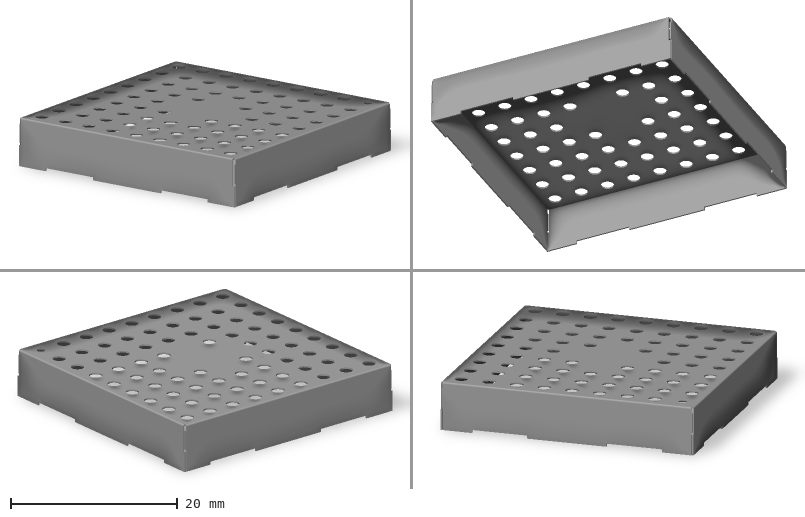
import cadquery as cq

SIDE = 32.0
HEIGHT = 6.0
SHEET = 0.2
BEND_RADIUS = SHEET

CORNER_GAP = 0.298
EAR_TOP = 2.6
TAB_BOTTOM = 2.85
TAB_TOP = 5.28
TAB_REACH = 0.15

NOTCH_WIDTH = 7.0
NOTCH_HEIGHT = 0.4
NOTCH_OFFSET = 8.5

HOLES_FROM_CENTER = 4
GRID_SPAN = 28.0
PITCH = GRID_SPAN / (2 * HOLES_FROM_CENTER)
PLAIN_STEPS = 1
VENT_DIAMETER = 1.6
MARKER_DIAMETER = 1.0


def folded_shell():
    """Box with rounded top edges, hollowed from below to the sheet thickness."""
    inner_side = SIDE - 2 * SHEET
    outer = cq.Workplane("XY").box(SIDE, SIDE, HEIGHT, centered=(True, True, False))
    outer = outer.faces(">Z").edges().fillet(BEND_RADIUS)
    cavity = cq.Workplane("XY").box(inner_side, inner_side, HEIGHT - SHEET, centered=(True, True, False))
    return outer.cut(cavity)


def corner_columns():
    """Square columns that open the four vertical corners over the full height."""
    spacing = SIDE - CORNER_GAP
    return (
        cq.Workplane("XY")
        .rarray(spacing, spacing, 2, 2)
        .rect(CORNER_GAP, CORNER_GAP)
        .extrude(HEIGHT)
    )


def corner_ears():
    """Low ears that lengthen the front and back walls to the full width at all four corners."""
    return (
        cq.Workplane("XY")
        .rarray(SIDE - CORNER_GAP, SIDE - SHEET, 2, 2)
        .rect(CORNER_GAP, SHEET)
        .extrude(EAR_TOP)
    )


def corner_tabs():
    """Tabs on both ends of the side walls, floating above the ears."""
    wall_length = SIDE - 2 * CORNER_GAP
    return (
        cq.Workplane("XY", origin=(0, 0, TAB_BOTTOM))
        .rarray(SIDE - SHEET, wall_length + TAB_REACH, 2, 2)
        .rect(SHEET, TAB_REACH)
        .extrude(TAB_TOP - TAB_BOTTOM)
    )


def bottom_notches():
    """Bars across the whole can, cutting two notches into each of the four walls."""
    along_y = (
        cq.Workplane("XY")
        .rarray(2 * NOTCH_OFFSET, 0.32, 2, 1)
        .rect(NOTCH_WIDTH, SIDE)
        .extrude(NOTCH_HEIGHT)
    )
    along_x = along_y.rotate((0, 0, 0), (0, 0, 1), 90)
    return along_y.union(along_x)


def hole_cutters(points, diameter):
    """Cylinders through the lid at the given places, starting inside the hollow."""
    return (
        cq.Workplane("XY", origin=(0, 0, HEIGHT - 2 * SHEET))
        .pushPoints(points)
        .circle(diameter / 2)
        .extrude(2 * SHEET)
    )


marker_step = (HOLES_FROM_CENTER, HOLES_FROM_CENTER)
marker_point = (HOLES_FROM_CENTER * PITCH, HOLES_FROM_CENTER * PITCH)
steps = range(-HOLES_FROM_CENTER, HOLES_FROM_CENTER + 1)
vent_points = [
    (column * PITCH, row * PITCH)
    for column in steps
    for row in steps
    if abs(column) + abs(row) > PLAIN_STEPS and (column, row) != marker_step
]

result = (
    folded_shell()
    .cut(corner_columns())
    .union(corner_ears())
    .union(corner_tabs())
    .cut(bottom_notches())
    .cut(hole_cutters(vent_points, VENT_DIAMETER))
    .cut(hole_cutters([marker_point], MARKER_DIAMETER))
)